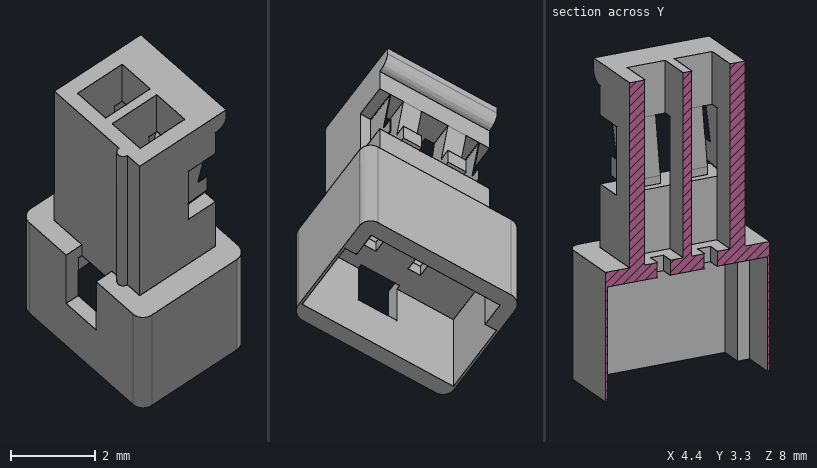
import cadquery as cq

base_width = 4.4
base_depth = 3.3
base_height = 3.3
corner_radius = 0.32
wall = 0.38
roof = 0.39
groove_depth = 0.32
groove_end_y = 0.62

slot_width = 1.09
slot_floor_z = 1.54

total_height = 8.0
tower_width = 3.1
tower_front_y = -1.15
tower_back_y = 1.22
lip_overhang = 0.34
lip_height = 0.59
rib_radius = 0.15
rib_x = 0.95

cavity_pitch = 1.26
cavity_width = 1.02
cavity_front_y = -0.78
cavity_back_y = 0.62
window_width = 0.34
window_front_y = -0.64
window_back_y = 0.06

notch_floor_z = 4.91
notch_top_z = 6.66
notch_front_y = 0.38
latch_hook_z = 5.58
latch_hook_depth = 0.29
latch_heel_z = 5.07
latch_toe_z = 5.0
lance_width = 0.51
ramp_end_z = 5.2
cheek_outer_width = 2.53
cheek_thickness = 0.02

cheek_x = (cheek_outer_width - cheek_thickness) / 2
inner_top_z = base_height - roof
cavity_centers = (-cavity_pitch / 2, cavity_pitch / 2)


def block(width, y_range, z_range, center_x=0.0):
    """Box of the given X width between two Y and two Z limits."""
    y_low, y_high = y_range
    z_low, z_high = z_range
    return (
        cq.Workplane("XY")
        .box(width, y_high - y_low, z_high - z_low, centered=(True, False, False))
        .translate((center_x, y_low, z_low))
    )


def side_profile(width):
    """YZ workplane placed so that an extrusion of this width is centred on X = 0."""
    return cq.Workplane("YZ").workplane(offset=-width / 2)


def make_base():
    body = (
        cq.Workplane("XY")
        .rect(base_width, base_depth)
        .extrude(base_height)
        .edges("|Z")
        .fillet(corner_radius)
    )
    inner_width = base_width - 2 * wall
    inner_y = base_depth / 2 - wall
    hollow = block(inner_width, (-inner_y, inner_y), (0, inner_top_z))
    grooves = block(inner_width + 2 * groove_depth, (-inner_y, groove_end_y), (0, inner_top_z))
    slot = block(slot_width, (-base_depth / 2, tower_front_y), (slot_floor_z, base_height))
    return body.cut(hollow).cut(grooves).cut(slot)


def make_tower():
    lip_y = tower_back_y + lip_overhang
    lip_bottom_z = total_height - lip_height
    profile = (
        side_profile(tower_width)
        .moveTo(tower_front_y, inner_top_z)
        .lineTo(tower_front_y, total_height)
        .lineTo(lip_y, total_height)
        .lineTo(lip_y, lip_bottom_z + lip_overhang)
        .radiusArc((tower_back_y, lip_bottom_z), lip_overhang)
        .lineTo(tower_back_y, inner_top_z)
        .close()
    )
    rib = (
        cq.Workplane("XY", origin=(rib_x, tower_front_y, base_height))
        .circle(rib_radius)
        .extrude(total_height - base_height)
    )
    return profile.extrude(tower_width).union(rib)


def latch_blade(thickness, center_x, root_front_y):
    """Hooked blade hanging in the notch; its front edge is a ramp from root_front_y
    at the top to the notch front."""
    return (
        side_profile(thickness)
        .moveTo(root_front_y, notch_top_z)
        .lineTo(tower_back_y, notch_top_z)
        .lineTo(tower_back_y - latch_hook_depth, latch_hook_z)
        .lineTo(tower_back_y, latch_hook_z)
        .lineTo(tower_back_y, latch_heel_z)
        .lineTo(notch_front_y, latch_toe_z)
        .lineTo(notch_front_y, ramp_end_z)
        .close()
        .extrude(thickness)
        .translate((center_x, 0, 0))
    )


result = make_base().union(make_tower())

result = result.cut(block(tower_width, (notch_front_y, tower_back_y), (notch_floor_z, notch_top_z)))

for x in cavity_centers:
    lower_cavity = block(cavity_width, (cavity_front_y, notch_front_y), (base_height, total_height), x)
    upper_cavity = block(cavity_width, (cavity_front_y, cavity_back_y), (notch_top_z, total_height), x)
    window = block(window_width, (window_front_y, window_back_y), (inner_top_z, base_height), x)
    result = result.cut(lower_cavity).cut(upper_cavity).cut(window)

for x in cavity_centers:
    result = result.union(latch_blade(lance_width, x, cavity_back_y))

for x in (-cheek_x, cheek_x):
    result = result.union(latch_blade(cheek_thickness, x, notch_front_y))